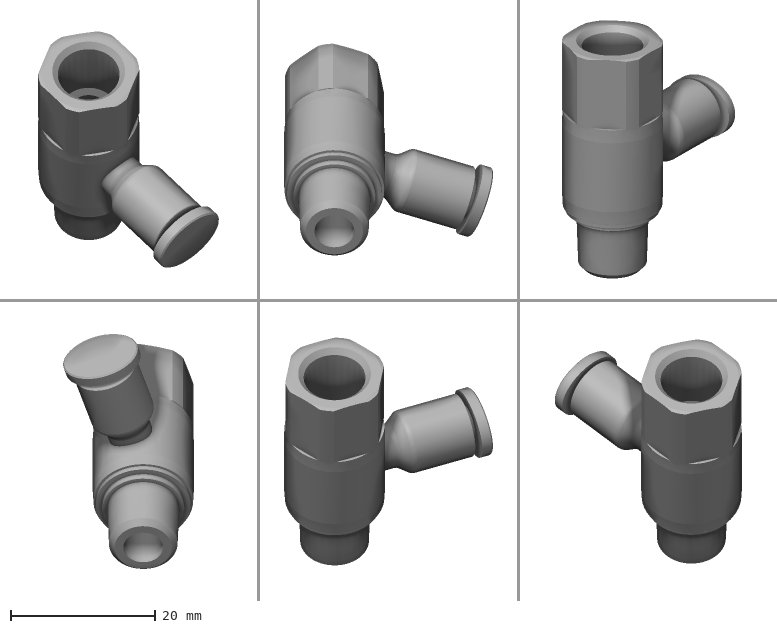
import cadquery as cq
import math

total_height = 34.5
male_chamfer_top = 0.83
male_thread_top = 7.97
shoulder_top = 8.83
flange_top = 9.55
sleeve_bottom = 11.52
sleeve_top = 22.05
hex_bottom = 23.98

sleeve_radius = 7.0
sleeve_end_radius = 6.9
flange_radius = 6.55
shoulder_radius = 5.7
shoulder_chamfer = 0.07
male_top_radius = 5.0
male_end_radius = 4.75
male_tip_radius = 3.97

hex_across_flats = 13.0
hex_chamfer_height = 0.15
hex_face_radius = hex_across_flats / 2

socket_mouth_radius = 5.05
socket_top_radius = 4.28
socket_floor_radius = 4.0
socket_depth = 9.6
passage_radius = 2.75

branch_height = (sleeve_bottom + sleeve_top) / 2
stub_radius = 3.1
port_radius = 4.52
cone_start = 8.35
cone_end = 10.2
cone_blend_radius = 1.0
port_end = 19.18
port_edge_chamfer = 0.1
neck_radius = 2.75
collar_start = 19.87
collar_end = 21.5
collar_width = 10.75
collar_height = 8.65
collar_chamfer = 0.2


def make_body():
    """Turned outside of the body, from the male thread up to the hex."""
    profile = [
        (0, 0),
        (male_tip_radius, 0),
        (male_end_radius, male_chamfer_top),
        (male_top_radius, male_thread_top),
        (shoulder_radius - shoulder_chamfer, male_thread_top),
        (shoulder_radius, male_thread_top + shoulder_chamfer),
        (shoulder_radius, shoulder_top),
        (flange_radius, shoulder_top),
        (flange_radius, flange_top),
        (sleeve_end_radius, flange_top),
        (sleeve_radius, sleeve_bottom),
        (sleeve_radius, sleeve_top),
        (sleeve_end_radius, hex_bottom),
        (0, hex_bottom),
    ]
    return cq.Workplane("XZ").polyline(profile).close().revolve(360, (0, 0), (0, 1))


def make_hex_head():
    """Hex with flats facing +-Y, turned down at its corners and chamfered on top."""
    across_corners = hex_across_flats / math.cos(math.pi / 6)
    prism = (
        cq.Workplane("XY")
        .workplane(offset=hex_bottom)
        .polygon(6, across_corners)
        .extrude(total_height - hex_bottom)
    )
    blank_profile = [
        (0, hex_bottom),
        (sleeve_radius, hex_bottom),
        (sleeve_radius, total_height - hex_chamfer_height),
        (hex_face_radius, total_height),
        (0, total_height),
    ]
    blank = cq.Workplane("XZ").polyline(blank_profile).close().revolve(360, (0, 0), (0, 1))
    return prism.intersect(blank)


def make_bore():
    """Passage through the whole body with the countersunk, tapered socket on top."""
    socket_floor = total_height - socket_depth
    countersink_bottom = total_height - (socket_mouth_radius - socket_top_radius)
    profile = [
        (0, 0),
        (passage_radius, 0),
        (passage_radius, socket_floor),
        (socket_floor_radius, socket_floor),
        (socket_top_radius, countersink_bottom),
        (socket_mouth_radius, total_height),
        (0, total_height),
    ]
    return cq.Workplane("XZ").polyline(profile).close().revolve(360, (0, 0), (0, 1))


def make_branch():
    """Side port: stub, blended cone, cylinder and neck, rooted inside the body wall."""
    root = (passage_radius + sleeve_radius) / 2
    profile = [
        (root, 0),
        (root, stub_radius),
        (cone_start, stub_radius),
        (cone_end, port_radius),
        (port_end - port_edge_chamfer, port_radius),
        (port_end, port_radius - port_edge_chamfer),
        (port_end, neck_radius),
        (collar_start, neck_radius),
        (collar_start, 0),
    ]
    turned = cq.Workplane("XZ").polyline(profile).close().revolve(360, (0, 0), (1, 0))
    for rim_x in (cone_start, cone_end):
        rim = turned.edges("%CIRCLE").filter(lambda edge: math.isclose(edge.Center().x, rim_x))
        turned = rim.fillet(cone_blend_radius)
    return turned.translate((0, 0, branch_height))


def make_collar():
    """Oval release collar, wider in Y than in Z, chamfered on its outer face."""
    return (
        cq.Workplane("YZ", origin=(collar_start, 0, branch_height))
        .ellipse(collar_width / 2, collar_height / 2)
        .extrude(collar_end - collar_start)
        .faces(">X")
        .chamfer(collar_chamfer)
    )


solid_body = make_body().union(make_hex_head()).union(make_branch()).union(make_collar())
result = solid_body.cut(make_bore())